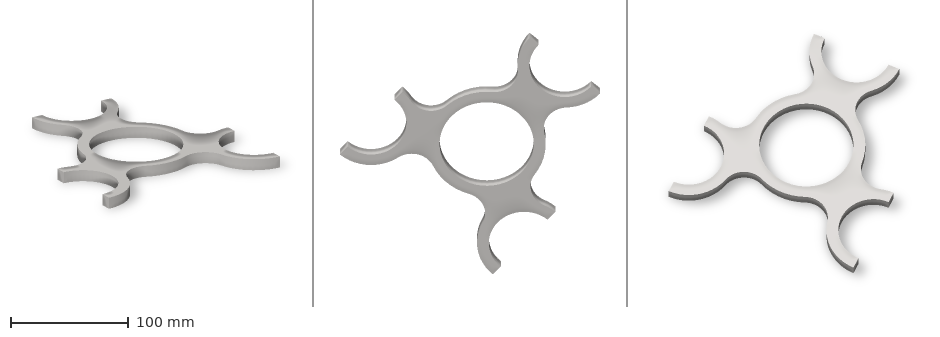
import cadquery as cq
import math

overall_length = 190.0
thickness = 10.0
wall = 10.0
hole_diameter = 80.0
cup_outer_diameter = 80.0
blend_radius = 20.0
arm_angles = (60, 180, 300)

ring_radius = hole_diameter / 2 + wall
cup_outer_radius = cup_outer_diameter / 2
cup_inner_radius = cup_outer_radius - wall
arm_length = (overall_length - cup_outer_radius) / (1 + math.cos(math.radians(60)))
half_width = arm_length * math.sin(math.radians(60))

ring_to_blend = ring_radius + blend_radius
cup_to_blend = cup_outer_radius + blend_radius
blend_x = (ring_to_blend**2 - cup_to_blend**2 + arm_length**2) / (2 * arm_length)
blend_y = math.sqrt(ring_to_blend**2 - blend_x**2)


def disc(radius, centers=((0, 0),)):
    """Plates of the part's thickness at the given centers."""
    return cq.Workplane("XY").pushPoints(centers).circle(radius).extrude(thickness)


def arm():
    """Cup disc joined to the ring by a web with concave sides, pointing along +X."""
    blend_centers = [(blend_x, blend_y), (blend_x, -blend_y)]
    web = (
        cq.Workplane("XY")
        .polyline([(0, 0), blend_centers[1], (arm_length, 0), blend_centers[0]])
        .close()
        .extrude(thickness)
        .cut(disc(blend_radius, blend_centers))
    )
    return web.union(disc(cup_outer_radius, [(arm_length, 0)]))


body = disc(ring_radius)
for angle in arm_angles:
    body = body.union(arm().rotate((0, 0, 0), (0, 0, 1), angle))

cup_centers = [
    (arm_length * math.cos(math.radians(angle)), arm_length * math.sin(math.radians(angle)))
    for angle in arm_angles
]
body = body.cut(disc(hole_diameter / 2)).cut(disc(cup_inner_radius, cup_centers))

trim_box = (
    cq.Workplane("XY")
    .box(2 * arm_length, 2 * half_width, thickness, centered=(True, True, False))
)
result = body.intersect(trim_box)